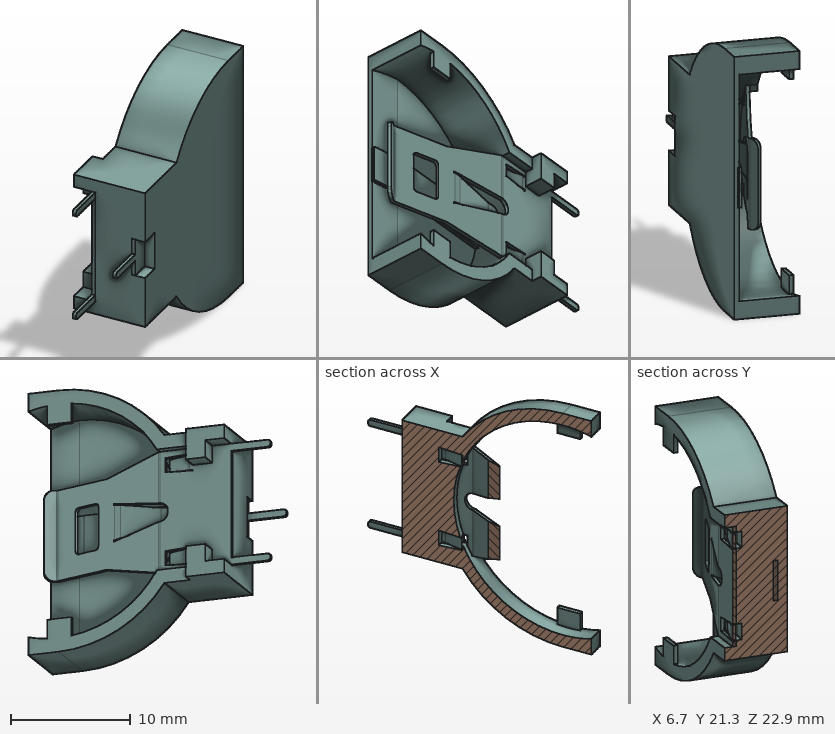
import cadquery as cq
import math


depth = 6.7
rim_x = 0.96
rim_radius = 11.45
cell_radius = 10.24
open_end_y = 2.7
block_end_y = -15.14
block_half = 6.48
raised_y = -11.72
lip_size = 2.15
lip_y = -0.05
lip_inner_z = 8.55
lip_thickness = 0.4
clamp_inner_z = 3.8
clamp_length = 1.72

sheet = 0.32
bend_radius = 0.18
pin_end_y = -18.62
pin_width = 0.62
pin_round = 0.25

spring_x = 1.7
spring_half = 5.3
spring_tilt = 16.8
tip_tilt = 27.0
tip_half = 3.96
tip_bend_y = 1.6
tip_corner = 0.8
taper_end_y = -3.41
fold_clearance = 0.07
fold_y = fold_clearance - math.sqrt(cell_radius**2 - spring_half**2)

window_near_y = -2.59
window_far_y = -0.25
window_half = 2.04
window_corner = 0.37

cut_gap = 0.057
tongue_root_y = -4.15
tongue_root_half = 1.65
tongue_end_half = 0.82
tongue_arc_y = -8.65
tongue_flat_y = -4.45
tongue_tip_bend_y = -8.38
tongue_tip_tilt = 11.0
tongue_bend_radius = 1.75
root_overlap = 0.23

prong_z = 4.08
prong_end_half = 0.62
prong_root_half = 0.75
prong_end_y = -9.25
prong_end_gap = 0.2
prong_root_y = -11.65
prong_bend_y = -11.31
prong_tilt = 15.0
prong_pocket_x = 2.55

flat_half = 1.75
flat_x = 5.47
flat_bend_y = -0.55
floor_x = flat_x + sheet
ramp_end_x = 6.27
ramp_angle = math.degrees(math.atan((ramp_end_x - floor_x) / open_end_y))
recess_length = clamp_length


def box(x0, x1, y0, y1, z0, z1):
    return cq.Workplane("XY").box(x1 - x0, y1 - y0, z1 - z0, centered=False).translate((x0, y0, z0))


def slope(degrees):
    return math.tan(math.radians(degrees))


def yz_prism(outline):
    """Extrude a closed (Y, Z) sketch through the full depth."""
    return outline.close().extrude(depth)


def bent_strip(front, half_width, inner_radii):
    """Sheet strip whose front face follows (x, y) points of rising y, rounded at each bend."""
    angles = [math.atan2(x1 - x0, y1 - y0) for (x0, y0), (x1, y1) in zip(front, front[1:])]
    before = [angles[0]] + angles
    after = angles + [angles[-1]]
    back = []
    for (x, y), a, b in zip(front, before, after):
        mitre = sheet / math.cos((b - a) / 2)
        middle = (a + b) / 2
        back.append((x + mitre * math.cos(middle), y - mitre * math.sin(middle)))
    section = cq.Workplane("XY").polyline(front + back[::-1]).close()
    strip = section.extrude(half_width, both=True)
    for i, inner in enumerate(inner_radii, start=1):
        outer = inner + sheet
        front_is_outer = after[i] > before[i]
        front_radius = outer if front_is_outer else inner
        back_radius = inner if front_is_outer else outer
        for corner, radius in ((front[i], front_radius), (back[i], back_radius)):
            strip = strip.edges(cq.selectors.NearestToPointSelector((*corner, 0))).fillet(radius)
    return strip


def pin(x, z):
    half = pin_width / 2
    blank = box(x, x + sheet, pin_end_y, block_end_y, z - half, z + half)
    return blank.edges("|X and <Y").fillet(pin_round)


def spring_face_x(y):
    """Front face of the tilted part of the spring contact."""
    return spring_x + (y - fold_y) * slope(spring_tilt)


def spring_blank():
    end_y = open_end_y - sheet * math.sin(math.radians(tip_tilt))
    bend_x = spring_face_x(tip_bend_y)
    end_x = bend_x - (end_y - tip_bend_y) * slope(tip_tilt)
    path = [(spring_x, block_end_y), (spring_x, fold_y), (bend_x, tip_bend_y), (end_x, end_y)]
    strip = bent_strip(path, spring_half, [bend_radius, bend_radius])
    half_outline = [
        (block_end_y, spring_half),
        (fold_y, spring_half),
        (taper_end_y, tip_half),
        (open_end_y, tip_half),
    ]
    mirrored = [(y, -z) for y, z in reversed(half_outline)]
    outline = yz_prism(cq.Workplane("YZ").polyline(half_outline + mirrored))
    blank = strip.intersect(outline)
    for side in (1, -1):
        corner = cq.selectors.NearestToPointSelector((end_x, end_y, side * tip_half))
        blank = blank.edges(corner).fillet(tip_corner)
    return blank


def spring_window():
    """Rounded opening, square to the tilted sheet."""
    near_x = spring_face_x(window_near_y)
    length = (window_far_y - window_near_y) / math.cos(math.radians(spring_tilt))
    opening = box(-sheet, 2 * sheet, 0, length, -window_half, window_half)
    opening = opening.edges("|X").fillet(window_corner)
    return opening.rotate((0, 0, 0), (0, 0, 1), -spring_tilt).translate((near_x, window_near_y, 0))


def tongue_outline(inset, root_y):
    root = tongue_root_half - inset
    end = tongue_end_half - inset
    sketch = cq.Workplane("YZ").moveTo(root_y, root).lineTo(tongue_arc_y, end)
    sketch = sketch.threePointArc((tongue_arc_y - end, 0), (tongue_arc_y, -end))
    return yz_prism(sketch.lineTo(root_y, -root))


def tongue():
    root_y = tongue_root_y + root_overlap
    end_y = tongue_arc_y - tongue_end_half
    flat_face_x = spring_face_x(tongue_flat_y)
    path = [
        (flat_face_x + (end_y - tongue_tip_bend_y) * slope(tongue_tip_tilt), end_y),
        (flat_face_x, tongue_tip_bend_y),
        (flat_face_x, tongue_flat_y),
        (spring_face_x(root_y), root_y),
    ]
    strip = bent_strip(path, tongue_root_half, [bend_radius, tongue_bend_radius])
    return strip.intersect(tongue_outline(cut_gap, root_y))


def prong_outline(inset, end_y, root_y):
    end = prong_end_half - inset
    root = prong_root_half - inset
    points = [(end_y, end), (root_y, root), (root_y, -root), (end_y, -end)]
    return yz_prism(cq.Workplane("YZ").polyline(points))


def prong():
    root_y = prong_root_y - root_overlap
    end_y = prong_end_y - prong_end_gap
    end_x = spring_x + (end_y - prong_bend_y) * slope(prong_tilt)
    path = [(spring_x, root_y), (spring_x, prong_bend_y), (end_x, end_y)]
    strip = bent_strip(path, prong_root_half, [bend_radius])
    return strip.intersect(prong_outline(cut_gap, end_y, root_y))


def make_spring_contact():
    body = spring_blank().cut(spring_window())
    body = body.cut(tongue_outline(0, tongue_root_y)).union(tongue())
    for side in (1, -1):
        place = (0, 0, side * prong_z)
        body = body.cut(prong_outline(0, prong_end_y, prong_root_y).translate(place))
        body = body.union(prong().translate(place))
        body = body.union(pin(spring_x, side * (spring_half - pin_width / 2)))
    return body


def make_flat_contact():
    end_x = flat_x + (open_end_y - flat_bend_y) * slope(ramp_angle)
    path = [(flat_x, block_end_y), (flat_x, flat_bend_y), (end_x, open_end_y)]
    return bent_strip(path, flat_half, [bend_radius]).union(pin(flat_x, 0))


def housing_shell():
    disc = cq.Workplane("YZ").circle(rim_radius).extrude(depth)
    rim = disc.intersect(box(rim_x, depth, -rim_radius, 0, -rim_radius, rim_radius))
    rim = rim.union(box(rim_x, depth, 0, open_end_y, -rim_radius, rim_radius))
    block = box(rim_x, depth, block_end_y, 0, -block_half, block_half)
    raised = box(0, depth, block_end_y, raised_y, -block_half, block_half)
    return rim.union(block).union(raised)


def cell_cavity():
    """Round cavity with a flat floor that ramps down towards the open end."""
    floor_points = [
        (depth, -cell_radius),
        (floor_x, -cell_radius),
        (floor_x, 0),
        (ramp_end_x, open_end_y),
        (depth, open_end_y),
    ]
    floor = cq.Workplane("XY").polyline(floor_points).close()
    return cq.Workplane("YZ").circle(cell_radius).extrude(depth).cut(floor.extrude(cell_radius, both=True))


def prong_pocket():
    outline = prong_outline(cut_gap, prong_end_y - prong_end_gap, prong_root_y)
    return outline.intersect(
        box(spring_x, prong_pocket_x, prong_root_y, prong_end_y, -prong_root_half, prong_root_half)
    )


def make_housing(flat):
    body = housing_shell().cut(cell_cavity())
    body = body.cut(box(0, spring_x + sheet, block_end_y, fold_y, -spring_half, spring_half))
    body = body.cut(box(flat_x, depth, block_end_y, block_end_y + recess_length, -flat_half, flat_half))
    lip = box(
        rim_x, rim_x + lip_thickness,
        lip_y - lip_size / 2, lip_y + lip_size / 2,
        lip_inner_z, (cell_radius + rim_radius) / 2,
    )
    clamp = box(0, spring_x, raised_y - clamp_length, raised_y, clamp_inner_z, block_half)
    for feature in (lip, clamp):
        body = body.union(feature).union(feature.mirror("XY"))
    for side in (1, -1):
        body = body.cut(prong_pocket().translate((0, 0, side * prong_z)))
    return body.cut(flat)


spring_contact = make_spring_contact()
flat_contact = make_flat_contact()
housing = make_housing(flat_contact)

result = cq.Compound.makeCompound([
    housing.solids().val(),
    spring_contact.solids().val(),
    flat_contact.solids().val(),
])